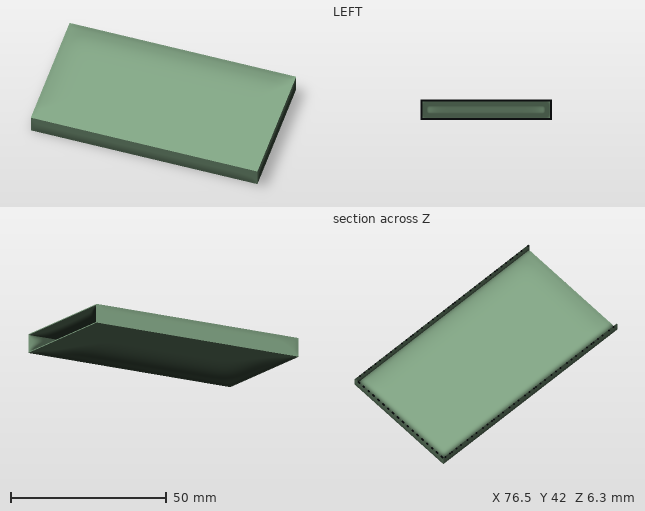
import cadquery as cq

length = 76.5
width = 42.0
height = 6.3

wall = 0.3

outer = cq.Workplane("XY").box(length, width, height)

cavity = (
    cq.Workplane("XY")
    .box(length - wall, width - 2 * wall, height - 2 * wall)
    .translate((-wall / 2, 0, 0))
)

result = outer.cut(cavity)